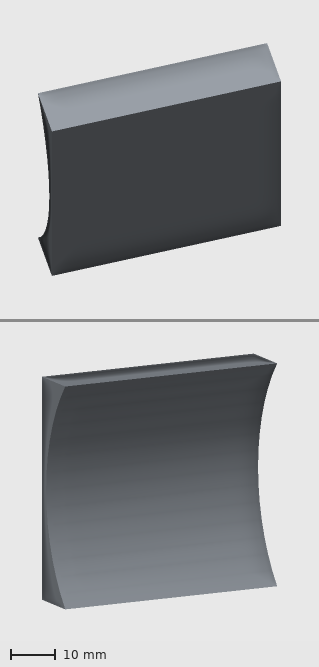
import cadquery as cq

thickness = 11.45
length = 53.0
height = 50.8

web = 2.1

front_x = -thickness / 2
back_x = thickness / 2
top_z = height / 2

profile = (
    cq.Workplane("XZ")
    .moveTo(front_x, -top_z)
    .lineTo(back_x, -top_z)
    .lineTo(back_x, top_z)
    .lineTo(front_x, top_z)
    .threePointArc((back_x - web, 0), (front_x, -top_z))
    .close()
)

result = profile.extrude(length / 2, both=True)